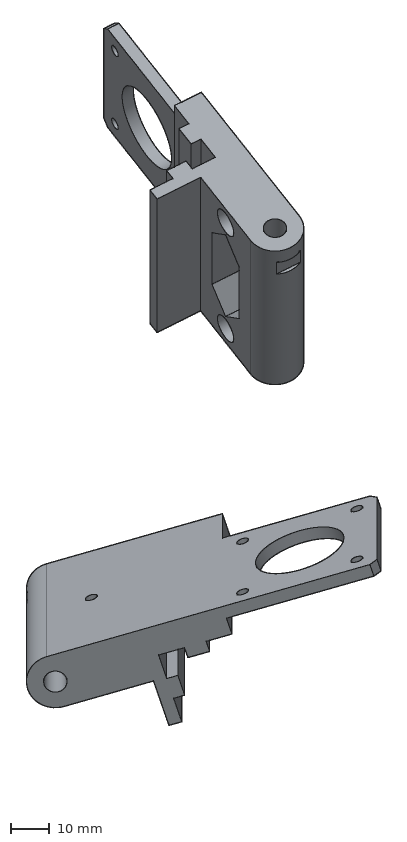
import cadquery as cq

LENGTH = 97.2
HEIGHT = 57.0
DEPTH = 28.3

PLATE_LENGTH = 42.0
PLATE_HEIGHT = 42.0
PLATE_THICKNESS = 3.5
PLATE_CHAMFER = 1.9
MOTOR_BORE = 24.0
SCREW_HOLE = 3.2
SCREW_SPACING = 31.0

BLOCK_THICKNESS = 15.0
END_RADIUS = BLOCK_THICKNESS / 2
PIVOT_X = LENGTH - END_RADIUS
PIVOT_HOLE = 6.0
NOTCH_DEPTH = 1.0
NOTCH_HEIGHT = 5.0
NOTCH_TOP_MARGIN = 4.9

BACK_LEG_THICKNESS = 8.3
FRONT_LEG_THICKNESS = 3.5
SEAT_WIDTH = 19.9
SEAT_CORNER_X = PLATE_LENGTH + SEAT_WIDTH
KEY_WIDTH = 5.9
KEY_HEIGHT = 3.0

RECESS_X = 77.6
RECESS_DEPTH = 10.0
ROUND_RECESS = 8.0
ROUND_RECESS_SPACING = 45.1
POCKET_WIDTH = 13.2
POCKET_SIDE_LENGTH = 22.0
POCKET_LENGTH = 34.8


def box(x_min, x_max, y_min, y_max, z_min, z_max):
    """Box given by its limits along each axis."""
    size = (x_max - x_min, y_max - y_min, z_max - z_min)
    return cq.Workplane("XY").box(*size, centered=False).translate((x_min, y_min, z_min))


def front_plane(x, y, z):
    """Sketch plane facing -Y with its local axes along X and Z."""
    return cq.Workplane("XZ", origin=(x, y, z))


def motor_plate():
    """Thin plate with chamfered free corners, a motor bore and four screw holes."""
    plate = box(0, PLATE_LENGTH, -PLATE_THICKNESS, 0, 0, PLATE_HEIGHT)
    plate = plate.edges("<X and |Y").chamfer(PLATE_CHAMFER)
    center_x = PLATE_LENGTH / 2
    center_z = PLATE_HEIGHT / 2
    bore = front_plane(center_x, 0, center_z).circle(MOTOR_BORE / 2).extrude(PLATE_THICKNESS)
    screws = (
        front_plane(center_x, 0, center_z)
        .rect(SCREW_SPACING, SCREW_SPACING, forConstruction=True)
        .vertices()
        .circle(SCREW_HOLE / 2)
        .extrude(PLATE_THICKNESS)
    )
    return plate.cut(bore).cut(screws)


def rail_seat():
    """Two perpendicular legs, each with a rectangular key at the middle of its seat."""
    back_leg = box(PLATE_LENGTH, SEAT_CORNER_X, -BACK_LEG_THICKNESS, 0, 0, HEIGHT)
    front_leg = box(SEAT_CORNER_X, SEAT_CORNER_X + FRONT_LEG_THICKNESS, -DEPTH, 0, 0, HEIGHT)

    key_x = PLATE_LENGTH + (SEAT_WIDTH - KEY_WIDTH) / 2
    back_key = box(
        key_x, key_x + KEY_WIDTH,
        -BACK_LEG_THICKNESS - KEY_HEIGHT, -BACK_LEG_THICKNESS,
        0, HEIGHT,
    )
    key_y = -(BACK_LEG_THICKNESS + DEPTH + KEY_WIDTH) / 2
    front_key = box(
        SEAT_CORNER_X - KEY_HEIGHT, SEAT_CORNER_X,
        key_y, key_y + KEY_WIDTH,
        0, HEIGHT,
    )
    return back_leg.union(front_leg).union(back_key).union(front_key)


def hinge_block():
    """Thick block ending in a half cylinder around the vertical pivot hole."""
    block = (
        cq.Workplane("XY")
        .moveTo(SEAT_CORNER_X, 0)
        .lineTo(PIVOT_X, 0)
        .threePointArc((LENGTH, -END_RADIUS), (PIVOT_X, -BLOCK_THICKNESS))
        .lineTo(SEAT_CORNER_X, -BLOCK_THICKNESS)
        .close()
        .extrude(HEIGHT)
    )
    pivot = cq.Workplane("XY").center(PIVOT_X, -END_RADIUS).circle(PIVOT_HOLE / 2).extrude(HEIGHT)
    notch_top = HEIGHT - NOTCH_TOP_MARGIN
    notch = box(LENGTH - NOTCH_DEPTH, LENGTH, -BLOCK_THICKNESS, 0, notch_top - NOTCH_HEIGHT, notch_top)
    return block.cut(pivot).cut(notch)


def block_recesses():
    """Pointed pocket, a round blind hole above and below it, and a through screw hole."""
    mouth = front_plane(RECESS_X, -BLOCK_THICKNESS, HEIGHT / 2)
    half_width = POCKET_WIDTH / 2
    half_side = POCKET_SIDE_LENGTH / 2
    tip = POCKET_LENGTH / 2
    pocket = mouth.polyline([
        (0, tip),
        (half_width, half_side),
        (half_width, -half_side),
        (0, -tip),
        (-half_width, -half_side),
        (-half_width, half_side),
    ]).close().extrude(-RECESS_DEPTH)
    round_holes = (
        mouth.rarray(1, ROUND_RECESS_SPACING, 1, 2)
        .circle(ROUND_RECESS / 2)
        .extrude(-RECESS_DEPTH)
    )
    screw_hole = mouth.circle(SCREW_HOLE / 2).extrude(-BLOCK_THICKNESS)
    return pocket.union(round_holes).union(screw_hole)


result = motor_plate().union(rail_seat()).union(hinge_block()).cut(block_recesses())